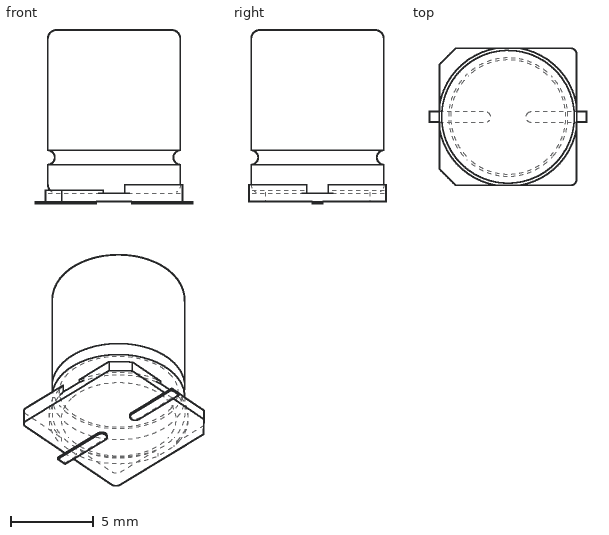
import cadquery as cq
import math

total_height = 10.51
lead_span = 9.5
base_side = 8.3

lead_thickness = 0.13
lead_width = 0.65
lead_inner_end = 1.07

base_low_top = 0.83
base_high_top = 1.16
corner_chamfer = 1.0
corner_radius = 0.37
pocket_radius = 4.2
pocket_floor = 0.63

can_radius = 4.01
can_edge_radius = 0.55
groove_center_height = 2.8
groove_half_height = 0.43
groove_depth = 0.42


def make_base():
    """Square plate, low on the -X half and high on the +X half, with a round seat for the can."""
    plate_height = base_high_top - lead_thickness
    plate = (
        cq.Workplane("XY")
        .workplane(offset=lead_thickness)
        .rect(base_side, base_side)
        .extrude(plate_height)
    )
    plate = plate.edges("|Z and <X").chamfer(corner_chamfer)
    plate = plate.edges("|Z and >X").fillet(corner_radius)

    low_half_cut = (
        cq.Workplane("XY")
        .workplane(offset=base_low_top)
        .center(-base_side / 2, 0)
        .rect(base_side, base_side)
        .extrude(base_high_top - base_low_top)
    )
    seat = (
        cq.Workplane("XY")
        .workplane(offset=pocket_floor)
        .circle(pocket_radius)
        .extrude(base_high_top - pocket_floor)
    )
    return plate.cut(low_half_cut).cut(seat)


def make_can():
    """Revolved can with rounded ends and a crimp groove near the bottom."""
    end_radius = can_radius - can_edge_radius
    arc_inset = can_edge_radius * (1 - math.sqrt(0.5))
    profile = (
        cq.Workplane("XZ")
        .moveTo(0, pocket_floor)
        .lineTo(end_radius, pocket_floor)
        .threePointArc(
            (can_radius - arc_inset, pocket_floor + arc_inset),
            (can_radius, pocket_floor + can_edge_radius),
        )
        .lineTo(can_radius, groove_center_height - groove_half_height)
        .threePointArc(
            (can_radius - groove_depth, groove_center_height),
            (can_radius, groove_center_height + groove_half_height),
        )
        .lineTo(can_radius, total_height - can_edge_radius)
        .threePointArc(
            (can_radius - arc_inset, total_height - arc_inset),
            (end_radius, total_height),
        )
        .lineTo(0, total_height)
        .close()
    )
    return profile.revolve(360, (0, 0), (0, 1))


def make_lead(side):
    """Flat strip along X with a fully rounded inner end; side is -1 or +1."""
    half_width = lead_width / 2
    outer_x = side * lead_span / 2
    inner_x = side * lead_inner_end
    round_start_x = side * (lead_inner_end + half_width)
    return (
        cq.Workplane("XY")
        .moveTo(outer_x, -half_width)
        .lineTo(round_start_x, -half_width)
        .threePointArc((inner_x, 0), (round_start_x, half_width))
        .lineTo(outer_x, half_width)
        .close()
        .extrude(lead_thickness)
    )


result = make_base().union(make_can())
for side in (-1, 1):
    result = result.union(make_lead(side))